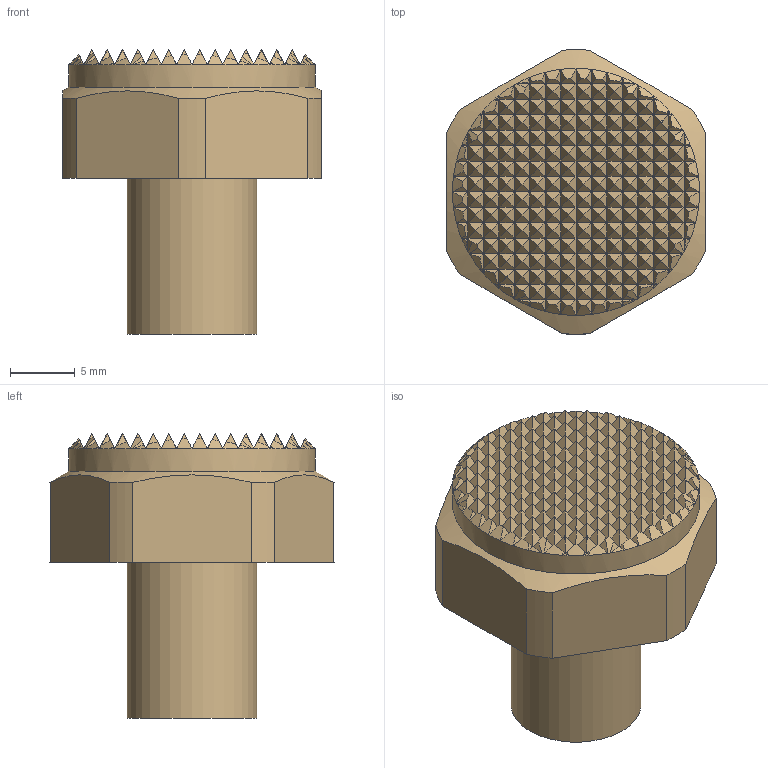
import cadquery as cq
import math

shank_diameter = 10.0
shank_length = 12.0

hexagon_sides = 6
across_flats = 19.92
corner_diameter = 21.9
hex_height = 7.0
chamfer_angle = 30.0

pad_diameter = 19.0
pad_height = 1.75
tooth_height = 1.16
tooth_rows = 16
tooth_pitch = pad_diameter / tooth_rows
rim_angle = 45.0

pad_rim_z = hex_height + pad_height
tooth_tip_z = pad_rim_z + tooth_height


def make_shank():
    return cq.Workplane("XY").circle(shank_diameter / 2).extrude(-shank_length)


def make_hex_head():
    """Hexagon with flats facing +X and -X, trimmed by a turned, chamfered blank."""
    half_side_angle = 180 / hexagon_sides
    across_corners = across_flats / math.cos(math.radians(half_side_angle))
    hexagon = (
        cq.Workplane("XY")
        .transformed(rotate=(0, 0, half_side_angle))
        .polygon(hexagon_sides, across_corners)
        .extrude(hex_height)
    )
    corner_radius = corner_diameter / 2
    pad_radius = pad_diameter / 2
    chamfer_drop = (corner_radius - pad_radius) * math.tan(math.radians(chamfer_angle))
    turned_blank = (
        cq.Workplane("XZ")
        .lineTo(corner_radius, 0)
        .lineTo(corner_radius, hex_height - chamfer_drop)
        .lineTo(pad_radius, hex_height)
        .lineTo(0, hex_height)
        .close()
        .revolve(360, (0, 0), (0, 1))
    )
    return hexagon.intersect(turned_blank)


def make_ridges(plane):
    """Bar with a sawtooth top, its V valleys level with the rim of the pad."""
    half_width = tooth_rows * tooth_pitch / 2
    start = -half_width
    profile = cq.Workplane(plane).moveTo(start, 0).lineTo(start, pad_rim_z)
    for row in range(tooth_rows):
        left_valley = start + row * tooth_pitch
        profile = profile.lineTo(left_valley + tooth_pitch / 2, tooth_tip_z)
        profile = profile.lineTo(left_valley + tooth_pitch, pad_rim_z)
    profile = profile.lineTo(half_width, 0).close()
    return profile.extrude(corner_diameter / 2, both=True)


def make_pad():
    """Round pad with a conical rim, cut into pyramids by two crossing sets of ridges."""
    pad_radius = pad_diameter / 2
    tip_radius = pad_radius - tooth_height / math.tan(math.radians(rim_angle))
    pad = (
        cq.Workplane("XZ")
        .moveTo(0, hex_height)
        .lineTo(pad_radius, hex_height)
        .lineTo(pad_radius, pad_rim_z)
        .lineTo(tip_radius, tooth_tip_z)
        .lineTo(0, tooth_tip_z)
        .close()
        .revolve(360, (0, 0), (0, 1))
    )
    ridges_along_y = make_ridges("XZ")
    ridges_along_x = make_ridges("YZ")
    return pad.intersect(ridges_along_y.intersect(ridges_along_x))


result = make_shank().union(make_hex_head()).union(make_pad())